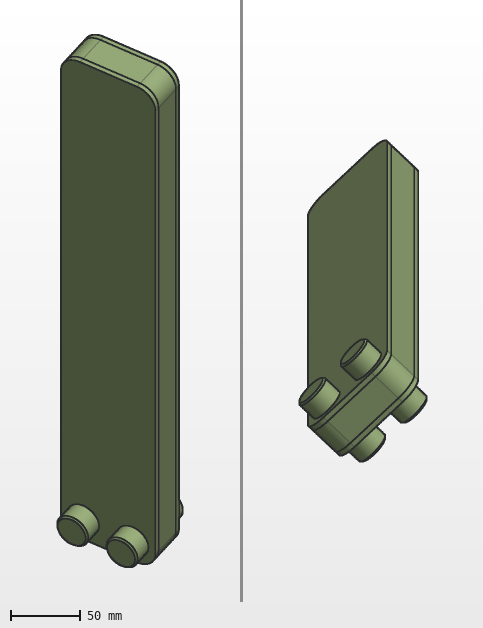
import cadquery as cq

bar_width = 81.0
bar_height = 471.0
corner_radius = 16.0
bar_thickness = 32.0
cover_thickness = 4.2

stud_diameter = 27.0
stud_length = 16.0
stud_chamfer = 1.5
stud_spacing = 42.5
stud_height = 20.0

core_thickness = bar_thickness - 2 * cover_thickness
front_face_y = -bar_thickness / 2
back_face_y = bar_thickness / 2


def make_layer(start_y, thickness):
    """Round-cornered slab standing on Z = 0, from start_y toward +Y."""
    return (
        cq.Workplane("XY")
        .box(bar_width, thickness, bar_height, centered=(True, False, False))
        .edges("|Y")
        .fillet(corner_radius)
        .translate((0, start_y, 0))
    )


def make_stud(center_x, face_y, direction):
    """Stud on a bar face, pointing along Y by direction (+1 or -1), with a chamfered free end."""
    axis = cq.Vector(0, direction, 0)
    base = cq.Plane(origin=(center_x, face_y, stud_height), xDir=(1, 0, 0), normal=axis)
    return (
        cq.Workplane(base)
        .circle(stud_diameter / 2)
        .extrude(stud_length)
        .faces(cq.selectors.DirectionMinMaxSelector(axis))
        .chamfer(stud_chamfer)
    )


front_cover = make_layer(front_face_y, cover_thickness)
core = make_layer(front_face_y + cover_thickness, core_thickness)
back_cover = make_layer(back_face_y - cover_thickness, cover_thickness)

studs = []
for center_x in (-stud_spacing / 2, stud_spacing / 2):
    for face_y, direction in ((front_face_y, -1), (back_face_y, 1)):
        studs.append(make_stud(center_x, face_y, direction).val())

result = cq.Compound.makeCompound(
    [front_cover.val(), core.val(), back_cover.val(), *studs]
)